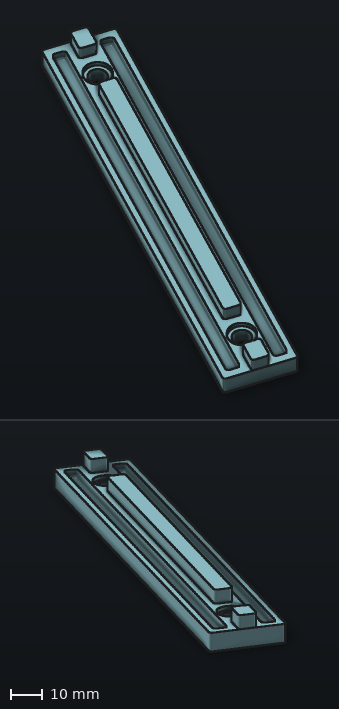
import cadquery as cq

LENGTH = 152.4
WIDTH = 25.5
BASE_HEIGHT = 6.4
CORNER_RADIUS = 1.0

TOTAL_HEIGHT = 11.1
BLOCK_HEIGHT = TOTAL_HEIGHT - BASE_HEIGHT
BLOCK_WIDTH = 6.1
RIB_LENGTH = 105.2
END_BLOCK_LENGTH = 8.0
END_BLOCK_INSET = 0.08
END_BLOCK_SPACING = LENGTH - END_BLOCK_LENGTH - 2 * END_BLOCK_INSET

HOLE_DIAMETER = 6.4
COUNTERBORE_DIAMETER = 9.6
COUNTERBORE_DEPTH = 1.5
HOLE_SPACING = 120.7

GROOVE_MARGIN = 3.0
GROOVE_LENGTH = LENGTH - 2 * GROOVE_MARGIN
GROOVE_WIDTH = 4.7
GROOVE_DEPTH = 3.2
GROOVE_SPACING = 16.2
GROOVE_RADIUS = 1.2
GROOVE_FLOOR_RADIUS = 1.19


def rounded_block(length, width, height, radius):
    """Block standing on Z = 0 with rounded vertical corners."""
    block = cq.Workplane("XY").box(length, width, height, centered=(True, True, False))
    return block.edges("|Z").fillet(radius)


def groove_cutter():
    """Groove volume with rounded corners and a rounded floor edge."""
    cutter = rounded_block(GROOVE_LENGTH, GROOVE_WIDTH, GROOVE_DEPTH, GROOVE_RADIUS)
    return cutter.faces("<Z").edges().fillet(GROOVE_FLOOR_RADIUS)


def make_base():
    base = rounded_block(LENGTH, WIDTH, BASE_HEIGHT, CORNER_RADIUS)
    base = (
        base.faces(">Z")
        .workplane(origin=(0, 0, BASE_HEIGHT))
        .pushPoints([(-HOLE_SPACING / 2, 0), (HOLE_SPACING / 2, 0)])
        .cboreHole(HOLE_DIAMETER, COUNTERBORE_DIAMETER, COUNTERBORE_DEPTH)
    )
    for side in (-1, 1):
        place = (0, side * GROOVE_SPACING / 2, BASE_HEIGHT - GROOVE_DEPTH)
        base = base.cut(groove_cutter().translate(place))
    return base


def make_rib():
    rib = rounded_block(RIB_LENGTH, BLOCK_WIDTH, BLOCK_HEIGHT, CORNER_RADIUS)
    return rib.translate((0, 0, BASE_HEIGHT))


def make_end_block(side):
    """End block at the -X end (side = -1) or the +X end (side = 1)."""
    block = rounded_block(END_BLOCK_LENGTH, BLOCK_WIDTH, BLOCK_HEIGHT, CORNER_RADIUS)
    return block.translate((side * END_BLOCK_SPACING / 2, 0, BASE_HEIGHT))


base = make_base()
rib = make_rib()
end_blocks = [make_end_block(side) for side in (-1, 1)]

result = cq.Compound.makeCompound(
    [base.val(), rib.val(), *[block.val() for block in end_blocks]]
)